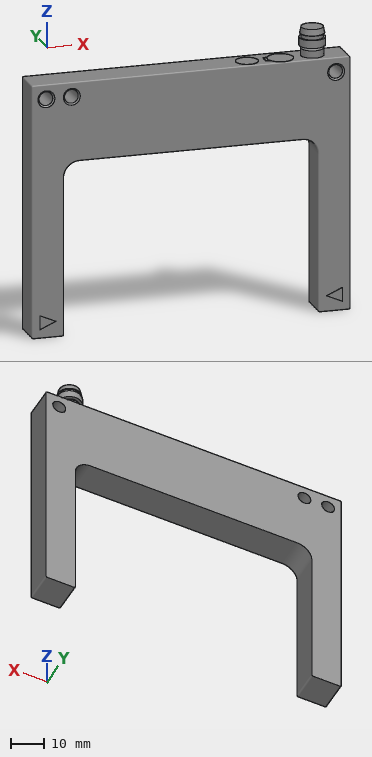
import cadquery as cq

WIDTH = 100.0
DEPTH = 10.0
HEIGHT = 80.0
LEG_WIDTH = 10.0
BRIDGE_HEIGHT = 25.0
INNER_RADIUS = 5.0
CORNER_RADIUS = 0.55
FRONT_EDGE_RADIUS = 0.4
FRONT_Y = -DEPTH / 2

HOLE_DIAMETER = 4.3
HOLE_RIM_DIAMETER = 5.3
HOLE_EDGE_DISTANCE = 4.5
HOLE_PITCH = 8.0
HOLE_Z = HEIGHT - HOLE_EDGE_DISTANCE
OUTER_HOLE_X = WIDTH / 2 - HOLE_EDGE_DISTANCE
HOLE_XS = (-OUTER_HOLE_X, -OUTER_HOLE_X + HOLE_PITCH, OUTER_HOLE_X)

PLUG_X = 39.5
PLUG_BASE_RADIUS = 3.55
PLUG_GROOVE_RADIUS = 3.1
PLUG_NECK_RADIUS = 3.4
PLUG_FLANGE_RADIUS = 4.05
PLUG_BARB_RADIUS = 3.8
PLUG_BASE_TOP = 2.3
PLUG_FLANGE_BOTTOM = 3.2
PLUG_FLANGE_TOP = 5.7
PLUG_BARB_BOTTOM = 7.0
PLUG_TOP = 9.0

MARK_DEPTH = 0.1
BUTTON_TAB_DEPTH = 0.2
ARROW_LENGTH = 5.0
ARROW_HEIGHT = 4.4
ARROW_Z = 5.0
ARROW_X = WIDTH / 2 - LEG_WIDTH / 2
INDICATOR_X = 19.0
INDICATOR_RADIUS = 3.5
BUTTON_X = 29.5
BUTTON_RADIUS = 4.0
BUTTON_TAB_REACH = 5.0
BUTTON_TAB_WIDTH = 3.2


def make_housing():
    gap_width = WIDTH - 2 * LEG_WIDTH
    gap_height = HEIGHT - BRIDGE_HEIGHT
    block = cq.Workplane("XY").box(WIDTH, DEPTH, HEIGHT, centered=(True, True, False))
    gap = (
        cq.Workplane("XY")
        .box(gap_width, DEPTH, gap_height, centered=(True, True, False))
        .edges("|Y and >Z")
        .fillet(INNER_RADIUS)
    )
    body = block.cut(gap).edges("|Y and (<Z or >Z)").fillet(CORNER_RADIUS)
    return body.faces("<Y").edges().fillet(FRONT_EDGE_RADIUS)


def make_hole(x):
    rim_depth = (HOLE_RIM_DIAMETER - HOLE_DIAMETER) / 2
    axis_start = cq.Vector(x, FRONT_Y, HOLE_Z)
    axis = cq.Vector(0, 1, 0)
    bore = cq.Solid.makeCylinder(HOLE_DIAMETER / 2, DEPTH, axis_start, axis)
    rim = cq.Solid.makeCone(HOLE_RIM_DIAMETER / 2, HOLE_DIAMETER / 2, rim_depth, axis_start, axis)
    return bore.fuse(rim)


def make_plug():
    profile = [
        (0, 0),
        (PLUG_BASE_RADIUS, 0),
        (PLUG_BASE_RADIUS, PLUG_BASE_TOP),
        (PLUG_GROOVE_RADIUS, PLUG_FLANGE_BOTTOM),
        (PLUG_FLANGE_RADIUS, PLUG_FLANGE_BOTTOM),
        (PLUG_FLANGE_RADIUS, PLUG_FLANGE_TOP),
        (PLUG_NECK_RADIUS, PLUG_FLANGE_TOP),
        (PLUG_NECK_RADIUS, PLUG_BARB_BOTTOM),
        (PLUG_BARB_RADIUS, PLUG_BARB_BOTTOM),
        (PLUG_NECK_RADIUS, PLUG_TOP),
        (0, PLUG_TOP),
    ]
    plug = cq.Workplane("XZ").polyline(profile).close().revolve(360, (0, 0), (0, 1))
    return plug.translate((PLUG_X, 0, HEIGHT))


def make_arrow(side):
    """Triangle on one leg (side is -1 or 1), pointing into the gap."""
    base_x = side * (ARROW_X + ARROW_LENGTH / 2)
    tip_x = side * (ARROW_X - ARROW_LENGTH / 2)
    corners = [
        (base_x, ARROW_Z - ARROW_HEIGHT / 2),
        (base_x, ARROW_Z + ARROW_HEIGHT / 2),
        (tip_x, ARROW_Z),
    ]
    arrow_plane = cq.Workplane("XZ", origin=(0, FRONT_Y, 0))
    return arrow_plane.polyline(corners).close().extrude(-MARK_DEPTH)


def make_top_marks():
    top_plane = cq.Workplane("XY", origin=(0, 0, HEIGHT))
    indicator = top_plane.center(INDICATOR_X, 0).circle(INDICATOR_RADIUS).extrude(-MARK_DEPTH)
    button = top_plane.center(BUTTON_X, 0).circle(BUTTON_RADIUS).extrude(-MARK_DEPTH)
    button_cylinder = top_plane.center(BUTTON_X, 0).circle(BUTTON_RADIUS).extrude(-BUTTON_TAB_DEPTH)
    tab = (
        top_plane.center(BUTTON_X - BUTTON_TAB_REACH / 2, 0)
        .rect(BUTTON_TAB_REACH, BUTTON_TAB_WIDTH)
        .extrude(-BUTTON_TAB_DEPTH)
        .cut(button_cylinder)
    )
    return indicator.union(button).union(tab)


result = make_housing()
for hole_x in HOLE_XS:
    result = result.cut(cq.Workplane(make_hole(hole_x)))
for leg_side in (-1, 1):
    result = result.cut(make_arrow(leg_side))
result = result.cut(make_top_marks()).union(make_plug())